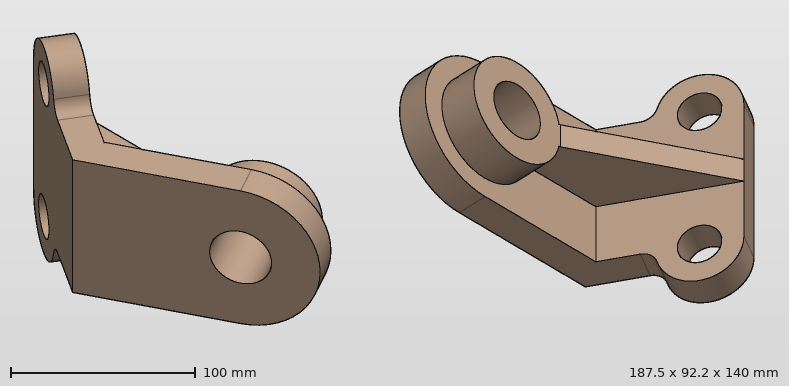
import cadquery as cq
import math

total_length = 187.5
thickness = 20.0
bend_angle = math.radians(60.0)
arm_length = 94.9
half_height = 45.0
bore_diameter = 35.0
boss_diameter = 65.0
boss_height = 25.0
lug_radius = 25.0
lug_hole_diameter = 25.0
neck_radius = 10.0
web_thickness = 15.0

arm_cos = math.cos(bend_angle)
arm_sin = math.sin(bend_angle)
bore_x = total_length - arm_length * arm_cos - half_height
lug_x = arm_length - lug_radius

plate_plane = cq.Plane(origin=(0, 0, 0), xDir=(-1, 0, 0), normal=(0, 1, 0))
arm_plane = cq.Plane(origin=(0, 0, 0), xDir=(-arm_cos, arm_sin, 0), normal=(arm_sin, arm_cos, 0))


def make_plate():
    """Flat plate with a semicircular end."""
    return (
        cq.Workplane(plate_plane)
        .moveTo(0, -half_height)
        .lineTo(-bore_x, -half_height)
        .threePointArc((-bore_x - half_height, 0), (-bore_x, half_height))
        .lineTo(0, half_height)
        .close()
        .extrude(thickness)
    )


def make_arm():
    """Tilted arm with two round lugs, each blended into the arm edge."""
    arm = (
        cq.Workplane(arm_plane)
        .center(arm_length / 2, 0)
        .rect(arm_length, 2 * half_height)
        .extrude(thickness)
    )

    neck_span = math.sqrt((lug_radius + neck_radius) ** 2 - neck_radius**2)
    neck_x = lug_x - neck_span
    touch_fraction = lug_radius / (lug_radius + neck_radius)
    lug_touch = (lug_x - neck_span * touch_fraction, half_height + neck_radius * touch_fraction)
    sweep = math.atan2(neck_span, neck_radius)
    mid_angle = (sweep - math.pi) / 2
    neck_mid = (
        neck_x + neck_radius * math.cos(mid_angle),
        half_height + neck_radius + neck_radius * math.sin(mid_angle),
    )
    for side in (-1, 1):
        lug = (
            cq.Workplane(arm_plane)
            .moveTo(neck_x, side * half_height)
            .threePointArc((neck_mid[0], side * neck_mid[1]), (lug_touch[0], side * lug_touch[1]))
            .lineTo(lug_x, side * half_height)
            .close()
            .extrude(thickness)
        )
        disc = (
            cq.Workplane(arm_plane)
            .center(lug_x, side * half_height)
            .circle(lug_radius)
            .extrude(thickness)
        )
        arm = arm.union(lug).union(disc)
    return arm


def make_boss():
    """Round boss on the inner side of the plate."""
    return (
        cq.Workplane(plate_plane)
        .center(-bore_x, 0)
        .circle(boss_diameter / 2)
        .extrude(thickness + boss_height)
    )


def make_web():
    """Central web from the arm's free end to the boss."""
    arm_tip = (
        thickness * arm_sin - arm_length * arm_cos,
        thickness * arm_cos + arm_length * arm_sin,
    )
    boss_top = thickness + boss_height
    return (
        cq.Workplane("XY")
        .polyline(
            [
                (0, 0),
                (bore_x, 0),
                (bore_x, boss_top),
                (bore_x - boss_diameter / 2, boss_top),
                arm_tip,
            ]
        )
        .close()
        .extrude(web_thickness / 2, both=True)
    )


bore = (
    cq.Workplane(plate_plane)
    .center(-bore_x, 0)
    .circle(bore_diameter / 2)
    .extrude(thickness + boss_height)
)
lug_holes = (
    cq.Workplane(arm_plane)
    .pushPoints([(lug_x, -half_height), (lug_x, half_height)])
    .circle(lug_hole_diameter / 2)
    .extrude(thickness)
)

result = make_plate().union(make_arm()).union(make_boss()).union(make_web()).cut(bore).cut(lug_holes)